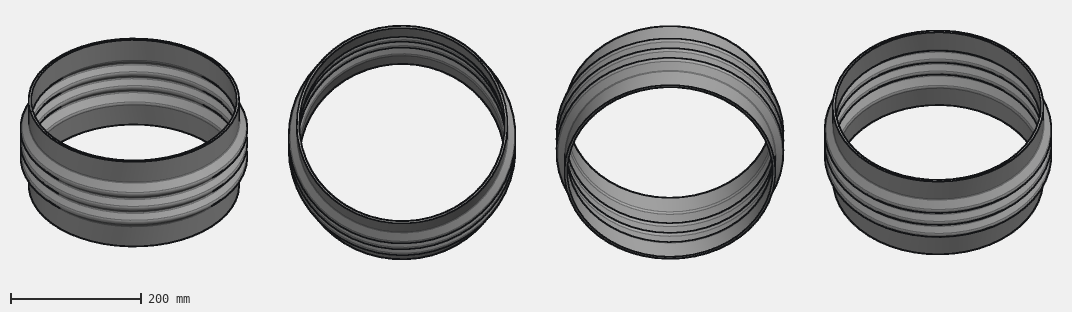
import cadquery as cq
import math

crest_diameter = 348.0
collar_diameter = 323.0
bore_diameter = 315.0
height = 160.0
crest_span = 52.5
crest_count = 3
flank_angle = math.radians(45)
crest_pitch = crest_span / (crest_count - 1)

wall = (collar_diameter - bore_diameter) / 2
bend_radius = wall
tight_radius = bend_radius - wall / 2
wide_radius = bend_radius + wall / 2

bend_span = 2 * bend_radius
crest_center_r = crest_diameter / 2 - wide_radius
end_center_r = collar_diameter / 2 + tight_radius
half_pitch = crest_pitch / 2
valley_drop = (half_pitch * math.cos(flank_angle) - bend_span) / math.sin(flank_angle)
valley_center_r = crest_center_r - valley_drop
end_drop = crest_center_r - end_center_r
end_rise = (bend_span + end_drop * math.sin(flank_angle)) / math.cos(flank_angle)
last_crest_z = crest_span / 2
end_center_z = last_crest_z + end_rise


def bend(center_r, center_z, radius, start, stop):
    """Start, middle and end points of an arc between two angles."""
    angles = (start, (start + stop) / 2, stop)
    return [(center_r + radius * math.cos(a), center_z + radius * math.sin(a)) for a in angles]


def solid_of_skin(offset):
    """Solid enclosed by the wall surface at an offset from mid-thickness."""
    crest_radius = bend_radius + offset
    valley_radius = bend_radius - offset
    inward = math.pi
    lower_turn = math.pi - flank_angle
    upper_turn = math.pi + flank_angle

    bends = [bend(end_center_r, -end_center_z, valley_radius, inward, lower_turn)]
    for index in range(crest_count):
        crest_z = index * crest_pitch - last_crest_z
        bends.append(bend(crest_center_r, crest_z, crest_radius, -flank_angle, flank_angle))
        if index < crest_count - 1:
            valley_z = crest_z + half_pitch
            bends.append(bend(valley_center_r, valley_z, valley_radius, upper_turn, lower_turn))
    bends.append(bend(end_center_r, end_center_z, valley_radius, upper_turn, inward))

    collar_r = end_center_r - valley_radius
    outline = cq.Workplane("XZ").moveTo(0, -height / 2).lineTo(collar_r, -height / 2)
    for start, middle, end in bends:
        outline = outline.lineTo(*start).threePointArc(middle, end)
    outline = outline.lineTo(collar_r, height / 2).lineTo(0, height / 2).close()
    return outline.revolve(360, (0, 0, 0), (0, 1, 0))


result = solid_of_skin(wall / 2).cut(solid_of_skin(-wall / 2))